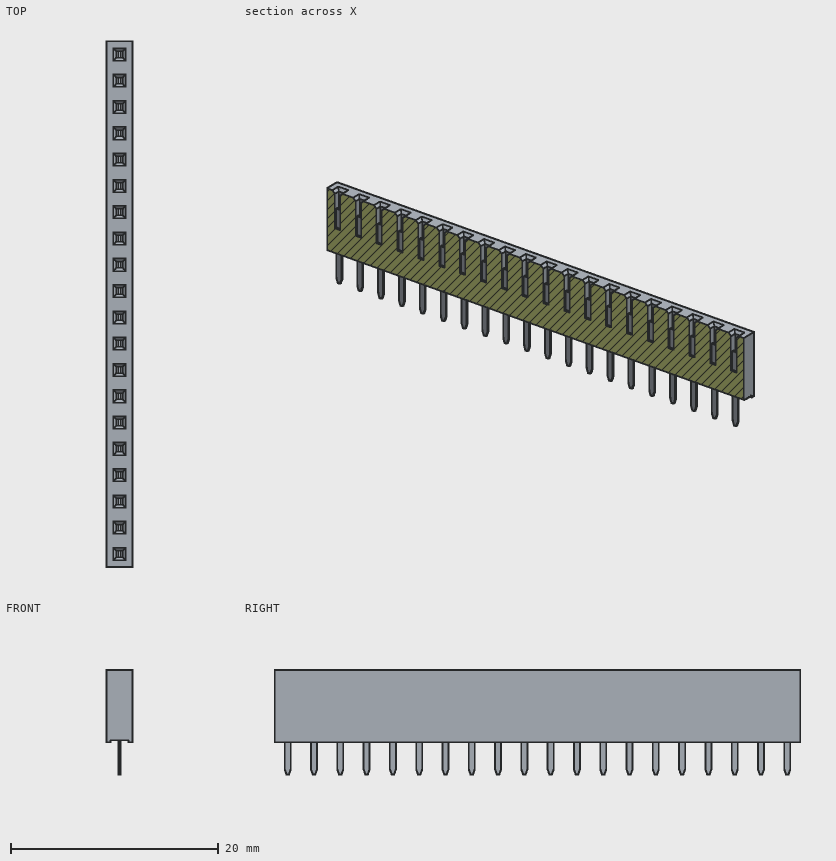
import cadquery as cq

pin_count = 20
body_length = 50.8
body_width = 2.55
body_height = 7.0
total_height = 10.1
pitch = body_length / pin_count

foot_width = 0.4
foot_height = 0.2

mouth_size = 1.2
throat_size = 0.6
lead_in_depth = (mouth_size - throat_size) / 2
socket_depth = 4.05

pin_width = 0.6
pin_thickness = 0.2
tip_width = 0.25
tip_length = 0.5
blade_height = 2.05
tail_length = total_height - body_height
blade_top = body_height - socket_depth + blade_height

pin_centers = [(0, (i - (pin_count - 1) / 2) * pitch) for i in range(pin_count)]


def make_body():
    """Rectangular housing with a shallow channel running along its underside."""
    housing = cq.Workplane("XY").box(body_width, body_length, body_height, centered=(True, True, False))
    channel_width = body_width - 2 * foot_width
    channel = cq.Workplane("XY").box(channel_width, body_length, foot_height, centered=(True, True, False))
    return housing.cut(channel)


def make_socket():
    """Cutting shape of one opening, centred on the Z axis: lead-in funnel above a square well."""
    funnel = (
        cq.Workplane("XY")
        .workplane(offset=body_height)
        .rect(mouth_size, mouth_size)
        .workplane(offset=-lead_in_depth)
        .rect(throat_size, throat_size)
        .loft(ruled=True)
    )
    well = cq.Workplane("XY").box(throat_size, throat_size, socket_depth, centered=(True, True, False))
    return funnel.union(well.translate((0, 0, body_height - socket_depth)))


def make_pin():
    """One flat pin on the Z axis, from its blade top inside the well down to its tapered tip."""
    shoulder_z = tip_length - tail_length
    return (
        cq.Workplane("YZ")
        .moveTo(-pin_width / 2, blade_top)
        .lineTo(-pin_width / 2, shoulder_z)
        .lineTo(-tip_width / 2, -tail_length)
        .lineTo(tip_width / 2, -tail_length)
        .lineTo(pin_width / 2, shoulder_z)
        .lineTo(pin_width / 2, blade_top)
        .close()
        .extrude(pin_thickness / 2, both=True)
    )


def at_each_contact(shape):
    """Copies of the shape at every contact position along the strip."""
    solid = shape.val()
    copies = [solid.translate(cq.Vector(x, y, 0)) for x, y in pin_centers]
    return cq.Workplane("XY").newObject([cq.Compound.makeCompound(copies)])


result = make_body().cut(at_each_contact(make_socket())).union(at_each_contact(make_pin()))